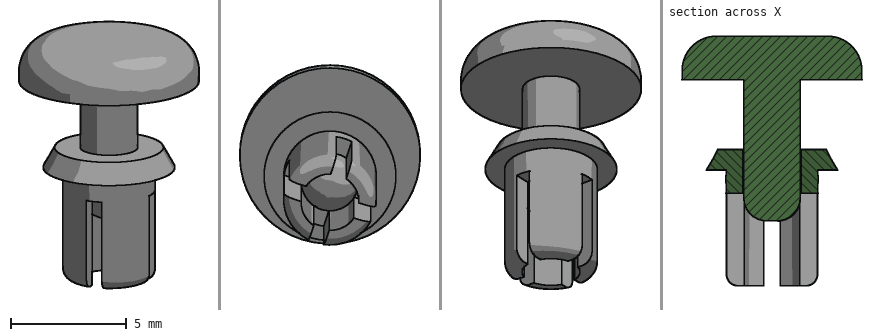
import cadquery as cq

total_height = 10.8
head_bottom = 8.9
flange_top = 5.9
flange_bottom = 5.0
slot_top = 4.0
pin_bottom = 2.8

head_radius = 7.8 / 2
head_edge_radius = 1.5
shank_radius = 2.47 / 2
shank_tip_radius = 1.0

flange_top_radius = 4.7 / 2
flange_bottom_radius = 5.7 / 2
barrel_radius = 4.0 / 2
bore_radius = 2.5 / 2
slot_width = 0.7
leg_edge_radius = 0.5


def make_pin():
    """Push pin: round-edged head on a shank with a rounded tip."""
    head = (
        cq.Workplane("XY", origin=(0, 0, head_bottom))
        .circle(head_radius)
        .extrude(total_height - head_bottom)
        .faces(">Z")
        .edges()
        .fillet(head_edge_radius)
    )
    shank = (
        cq.Workplane("XY", origin=(0, 0, pin_bottom))
        .circle(shank_radius)
        .extrude(head_bottom - pin_bottom)
        .faces("<Z")
        .edges()
        .fillet(shank_tip_radius)
    )
    return head.union(shank)


def make_grommet():
    """Slotted grommet: conical flange on a bored barrel split into four legs."""
    flange = (
        cq.Workplane("XY", origin=(0, 0, flange_bottom))
        .circle(flange_bottom_radius)
        .workplane(offset=flange_top - flange_bottom)
        .circle(flange_top_radius)
        .loft()
    )
    barrel = (
        cq.Workplane("XY")
        .circle(barrel_radius)
        .extrude(flange_bottom)
        .faces("<Z")
        .edges()
        .fillet(leg_edge_radius)
    )
    bore = cq.Workplane("XY").circle(bore_radius).extrude(flange_top)
    grommet = flange.union(barrel).cut(bore)

    slot_length = 2 * flange_bottom_radius
    for slot_size in ((slot_length, slot_width), (slot_width, slot_length)):
        slot = cq.Workplane("XY").rect(*slot_size).extrude(slot_top)
        grommet = grommet.cut(slot)
    return grommet


pin = make_pin()
grommet = make_grommet()
result = cq.Compound.makeCompound([pin.val(), grommet.val()])